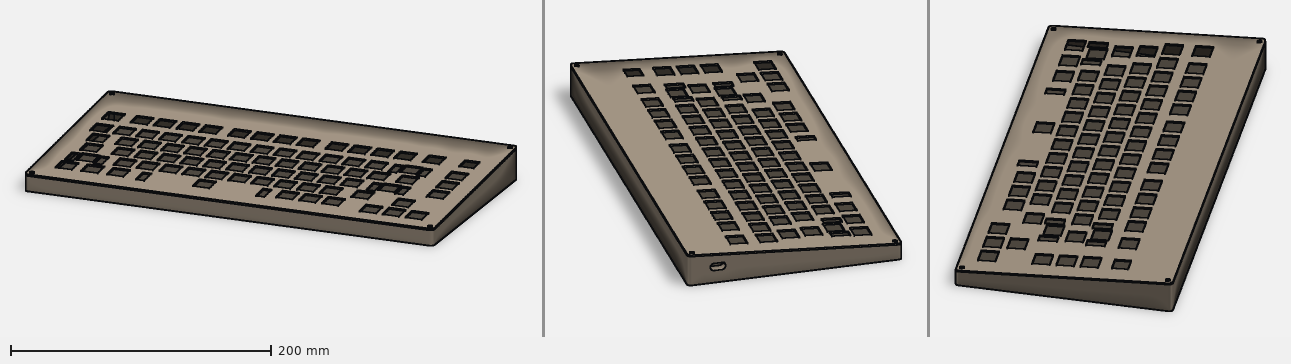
import cadquery as cq
import math

WIDTH = 339.8
DEPTH = 171.2
REAR_HEIGHT = 26.5
SLOPE_ANGLE = 4.2
CORNER_RADIUS = 3.0

PLATE_THICKNESS = 1.4
PLATE_LENGTH = DEPTH

WALL = 7.5
FLOOR = 3.0

SCREW_DIAMETER = 3.5
SCREW_INSET = 4.5

SLOT_LENGTH = 12.2
SLOT_HEIGHT = 6.0
SLOT_FROM_REAR = 24.0
SLOT_CENTER_Z = 13.5

LAYOUT_WIDTH = 314.3
LAYOUT_QUARTERS = 66
QUARTER = LAYOUT_WIDTH / LAYOUT_QUARTERS
SWITCH_SIZE = 14.0
FIRST_ROW_Y = 40.5

KEY_BLOCKS = [
    (0, 0, [4]),
    (5, 0, [4] * 4),
    (22, 0, [4] * 4),
    (39, 0, [4] * 4),
    (56, 0, [4]),
    (0, 5, [4] * 13 + [8]),
    (62, 5, [4]),
    (0, 9, [6] + [4] * 12 + [6]),
    (62, 9, [4]),
    (0, 13, [7] + [4] * 11 + [9]),
    (62, 13, [4]),
    (0, 17, [9] + [4] * 10 + [7]),
    (58, 18, [4]),
    (0, 21, [5, 4, 5, 25, 4, 4, 4]),
    (54, 22, [4] * 3),
]

STABILISER_WIDTH = 7.0
STABILISER_LENGTH = 15.0
STABILISER_DROP = 1.7
LONG_KEY_QUARTERS = 8
LONG_KEY_REACH = 12.0
SPACE_BAR_QUARTERS = 25
SPACE_BAR_REACH = 50.0

KNOB_WIDTH = 12.2
KNOB_LENGTH = 13.0
KNOB_X = 148.0
KNOB_Y = 40.8

slope = math.radians(SLOPE_ANGLE)
seat_rear_z = REAR_HEIGHT - PLATE_THICKNESS * math.cos(slope)
seat_front_z = seat_rear_z - DEPTH * math.tan(slope)

plate_plane = cq.Plane(
    origin=(
        0,
        DEPTH / 2 - PLATE_LENGTH / 2 * math.cos(slope),
        seat_rear_z - PLATE_LENGTH / 2 * math.sin(slope),
    ),
    xDir=(1, 0, 0),
    normal=(0, -math.sin(slope), math.cos(slope)),
)


def screw_points(length):
    """Corner screw positions on an outline of the full width and the given length."""
    x = WIDTH / 2 - SCREW_INSET
    y = length / 2 - SCREW_INSET
    return [(-x, -y), (x, -y), (-x, y), (x, y)]


def key_positions():
    """Centre and width in quarters of every key, on the plate."""
    keys = []
    for start, row, widths in KEY_BLOCKS:
        left = start - LAYOUT_QUARTERS / 2
        y = FIRST_ROW_Y - row * QUARTER
        for width in widths:
            keys.append(((left + width / 2) * QUARTER, y, width))
            left += width
    return keys


def stabiliser_points(keys):
    """Centres of the stabiliser openings beside the long keys."""
    points = []
    for x, y, width in keys:
        if width < LONG_KEY_QUARTERS:
            continue
        reach = SPACE_BAR_REACH if width == SPACE_BAR_QUARTERS else LONG_KEY_REACH
        points += [(x + side * reach, y - STABILISER_DROP) for side in (-1, 1)]
    return points


def cut_openings(plate, points, width, length):
    """Cut rectangular openings square through the plate."""
    cutters = cq.Workplane(plate_plane).pushPoints(points).rect(width, length).extrude(PLATE_THICKNESS)
    return plate.cut(cutters)


def make_plate():
    plate = cq.Workplane(plate_plane).rect(WIDTH, PLATE_LENGTH).extrude(PLATE_THICKNESS)
    plate = plate.edges(cq.selectors.ParallelDirSelector(plate_plane.zDir)).fillet(CORNER_RADIUS)
    keys = key_positions()
    plate = cut_openings(plate, [(x, y) for x, y, _ in keys], SWITCH_SIZE, SWITCH_SIZE)
    plate = cut_openings(plate, stabiliser_points(keys), STABILISER_WIDTH, STABILISER_LENGTH)
    plate = cut_openings(plate, [(KNOB_X, KNOB_Y)], KNOB_WIDTH, KNOB_LENGTH)
    screws = (
        cq.Workplane(plate_plane)
        .pushPoints(screw_points(PLATE_LENGTH))
        .circle(SCREW_DIAMETER / 2)
        .extrude(PLATE_THICKNESS)
    )
    return plate.cut(screws)


def make_case():
    side_profile = [
        (-DEPTH / 2, 0),
        (DEPTH / 2, 0),
        (DEPTH / 2, seat_rear_z),
        (-DEPTH / 2, seat_front_z),
    ]
    case = cq.Workplane("YZ").polyline(side_profile).close().extrude(WIDTH / 2, both=True)
    case = case.edges("|Z").fillet(CORNER_RADIUS)

    cavity = (
        cq.Workplane("XY", origin=(0, 0, FLOOR))
        .rect(WIDTH - 2 * WALL, DEPTH - 2 * WALL)
        .extrude(REAR_HEIGHT)
    )
    case = case.cut(cavity)

    screws = (
        cq.Workplane("XY")
        .pushPoints(screw_points(DEPTH))
        .circle(SCREW_DIAMETER / 2)
        .extrude(REAR_HEIGHT)
    )
    case = case.cut(screws)

    slot = (
        cq.Workplane("YZ", origin=(-WIDTH / 2, DEPTH / 2 - SLOT_FROM_REAR, SLOT_CENTER_Z))
        .slot2D(SLOT_LENGTH, SLOT_HEIGHT)
        .extrude(WALL)
    )
    return case.cut(slot)


plate = make_plate()
case = make_case()
result = cq.Compound.makeCompound([case.val(), plate.val()])